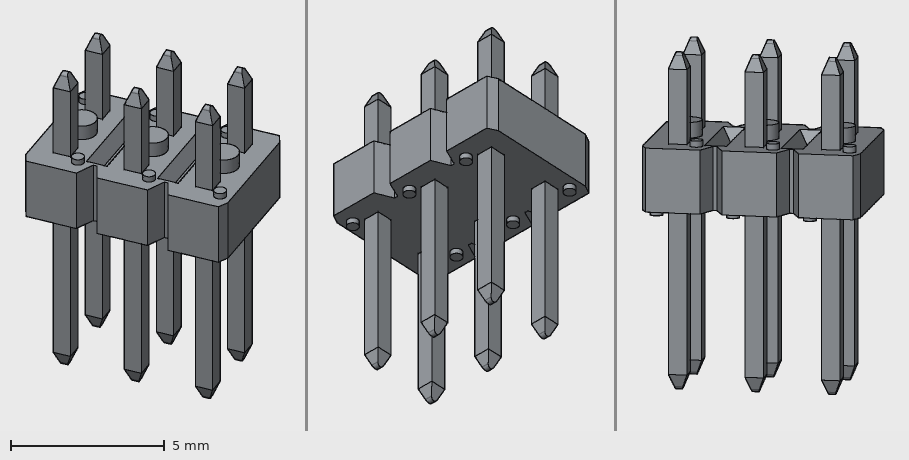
import cadquery as cq

pitch = 2.54
column_count = 3
column_xs = [(i - (column_count - 1) / 2) * pitch for i in range(column_count)]
row_ys = [-pitch / 2, pitch / 2]

housing_length = 7.22
housing_width = 4.83
housing_height = 2.12
corner_chamfer_x = 0.18
corner_chamfer_y = 0.36

notch_mouth = 0.73
notch_floor = 0.13
notch_depth = 0.67

pocket_width = notch_mouth
pocket_length = 3.24
pocket_floor_width = 0.11
pocket_floor_length = 2.7
pocket_depth = 0.5

boss_diameter = 1.02
boss_height = 0.51
peg_diameter = 0.42
peg_height = 0.2
peg_offset_x = 0.66
peg_offset_y = 1.75

pin_side = 0.61
pin_length = 11.17
pin_above_housing = 3.0
tip_length = 0.52
tip_end_width = 0.2
tip_round_height = 0.1
pin_top_z = housing_height + pin_above_housing
pin_bottom_z = pin_top_z - pin_length

gap_xs = [(left + right) / 2 for left, right in zip(column_xs, column_xs[1:])]


def make_block():
    """Rectangular block with its four upright corners cut off."""
    half_length = housing_length / 2
    half_width = housing_width / 2
    face_half_length = half_length - corner_chamfer_x
    face_half_width = half_width - corner_chamfer_y
    outline = [
        (half_length, face_half_width),
        (face_half_length, half_width),
        (-face_half_length, half_width),
        (-half_length, face_half_width),
        (-half_length, -face_half_width),
        (-face_half_length, -half_width),
        (face_half_length, -half_width),
        (half_length, -face_half_width),
    ]
    return cq.Workplane("XY").polyline(outline).close().extrude(housing_height)


def make_notch(x, side):
    """Trapezoidal notch through the full height; side is +1 for +Y and -1 for -Y."""
    mouth_y = side * housing_width / 2
    floor_y = mouth_y - side * notch_depth
    outline = [
        (x - notch_mouth / 2, mouth_y),
        (x - notch_floor / 2, floor_y),
        (x + notch_floor / 2, floor_y),
        (x + notch_mouth / 2, mouth_y),
    ]
    return cq.Workplane("XY").polyline(outline).close().extrude(housing_height)


def make_pocket(x):
    """Pocket whose four walls slope in from the top face to a narrow floor."""
    return (
        cq.Workplane("XY", origin=(x, 0, housing_height))
        .rect(pocket_width, pocket_length)
        .workplane(offset=-pocket_depth)
        .rect(pocket_floor_width, pocket_floor_length)
        .loft(ruled=True)
    )


def make_pin_hole(x, y):
    return cq.Workplane("XY", origin=(x, y, 0)).rect(pin_side, pin_side).extrude(housing_height)


def make_column_studs(x):
    """Centre boss and diagonal pegs of one column; the bottom pegs lie on the other diagonal."""
    top = cq.Workplane("XY", origin=(x, 0, housing_height))
    bottom = cq.Workplane("XY", origin=(x, 0, 0))
    top_pegs = [(-peg_offset_x, peg_offset_y), (peg_offset_x, -peg_offset_y)]
    bottom_pegs = [(peg_offset_x, peg_offset_y), (-peg_offset_x, -peg_offset_y)]
    studs = top.circle(boss_diameter / 2).extrude(boss_height)
    studs = studs.add(top.pushPoints(top_pegs).circle(peg_diameter / 2).extrude(peg_height))
    return studs.add(bottom.pushPoints(bottom_pegs).circle(peg_diameter / 2).extrude(-peg_height))


def make_housing():
    housing = make_block()
    for x in gap_xs:
        housing = housing.cut(make_pocket(x))
        for side in (-1, 1):
            housing = housing.cut(make_notch(x, side))
    for x in column_xs:
        for stud in make_column_studs(x).vals():
            housing = housing.union(cq.Workplane(stud))
        for y in row_ys:
            housing = housing.cut(make_pin_hole(x, y))
    return housing


def make_pin(x, y):
    """Pin with flat-ended flanks along X and a full round across Y at both ends."""
    half_side = pin_side / 2
    half_end = tip_end_width / 2
    top_shoulder = pin_top_z - tip_length
    bottom_shoulder = pin_bottom_z + tip_length
    round_start = tip_length - tip_round_height
    half_round = half_side - (half_side - half_end) * round_start / tip_length

    front_profile = (
        cq.Workplane("XZ", origin=(x, y + half_side, 0))
        .moveTo(-half_side, bottom_shoulder)
        .lineTo(-half_end, pin_bottom_z)
        .lineTo(half_end, pin_bottom_z)
        .lineTo(half_side, bottom_shoulder)
        .lineTo(half_side, top_shoulder)
        .lineTo(half_end, pin_top_z)
        .lineTo(-half_end, pin_top_z)
        .lineTo(-half_side, top_shoulder)
        .close()
        .extrude(pin_side)
    )
    side_profile = (
        cq.Workplane("YZ", origin=(x - half_side, y, 0))
        .moveTo(-half_side, bottom_shoulder)
        .lineTo(-half_round, pin_bottom_z + tip_round_height)
        .threePointArc((0, pin_bottom_z), (half_round, pin_bottom_z + tip_round_height))
        .lineTo(half_side, bottom_shoulder)
        .lineTo(half_side, top_shoulder)
        .lineTo(half_round, pin_top_z - tip_round_height)
        .threePointArc((0, pin_top_z), (-half_round, pin_top_z - tip_round_height))
        .lineTo(-half_side, top_shoulder)
        .close()
        .extrude(pin_side)
    )
    return front_profile.intersect(side_profile)


housing = make_housing()
pins = [make_pin(x, y) for x in column_xs for y in row_ys]

result = cq.Compound.makeCompound([housing.val(), *[pin.val() for pin in pins]])